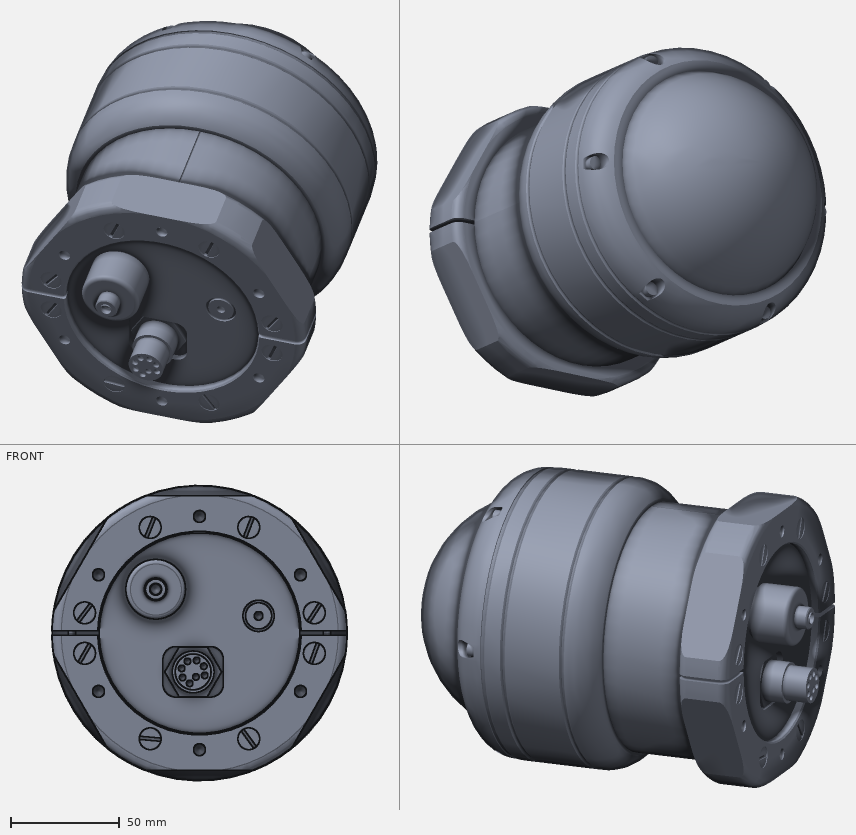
import cadquery as cq
import math


BODY_R = 135.5 / 2
CAP_R = 135.0 / 2
NECK_R = 116.0 / 2
CLAMP_DEPTH = 24.5
NECK_RELIEF_WIDTH = 0.5
NECK_RELIEF_DEPTH = 0.5
NECK_Y = CLAMP_DEPTH + NECK_RELIEF_WIDTH
NECK_LENGTH = 39.7
NECK_END_Y = NECK_Y + NECK_LENGTH
SHOULDER_Y = NECK_END_Y + NECK_RELIEF_WIDTH
BODY_LENGTH = 72.0
CAP_Y = SHOULDER_Y + BODY_LENGTH
SHOULDER_ARC_R = 18.2
CAP_ARC_R = 17.0
TOTAL_LENGTH = 197.4
FRONT_TIP_Y = -23.0
DOME_Y = TOTAL_LENGTH + FRONT_TIP_Y
DOME_BASE_R = 53.3

GROOVE_DEPTH = 0.9
GROOVE_CHAMFER = 0.9
GROOVE_FLOOR = 0.8
LOWER_GROOVE_Y = 81.7
MIDDLE_GROOVE_Y = 110.9
CAP_GROOVE_TOP = 122.0
CAP_GROOVE_FLOOR = 1.4

SEAM_WIDTH = 0.7
SEAM_DEPTH = 1.0

CAP_SCREW_COUNT = 6
CAP_POCKET_CIRCLE_R = 64.0
CAP_HEAD_CIRCLE_R = 62.4
CAP_POCKET_D = 8.0
CAP_POCKET_FLOOR_Y = 125.6
CAP_HEAD_D = 7.22
CAP_HEAD_HEIGHT = 3.8

CLAMP_FILLET = 4.2
CLAMP_ACROSS_FLATS = 126.0
CLAMP_BORE_R = 46.0
CLAMP_BORE_CHAMFER = 0.7
SPLIT_GAP = 2.0
SPLIT_SCREW_D = 3.24
SPLIT_SCREW_X = 58.5
SPLIT_SCREW_Y = 11.0
BOLT_CIRCLE_R = 53.5
BLIND_HOLE_COUNT = 6
BLIND_HOLE_START = 30.0
BLIND_HOLE_D = 5.5
BLIND_HOLE_DEPTH = 10.0
DRILL_TIP_ANGLE = 118.0
CLAMP_HEAD_D = 10.0
CLAMP_HEAD_RECESS = 0.3
DRIVER_SLOT_WIDTH = 1.5
DRIVER_SLOT_DEPTH = 1.8
CLAMP_SCREWS = [
    (10, 57), (65, 69), (115, 68), (170, 53),
    (190, 60), (245, -5), (295, -54), (350, 70),
]

PLATE_Y = 4.0

COAX_X = -20.1
COAX_Z = 20.1
COAX_STEM_D = 24.0
COAX_BODY_D = 27.4
COAX_BODY_BACK_Y = 2.0
COAX_BODY_FRONT_Y = -16.3
COAX_FILLET = 2.0
COAX_PIN_D = 10.4
COAX_PIN_Y = -22.4
COAX_PIN_CHAMFER = 0.5
COAX_TUBE_D = 5.5
COAX_BORE_D = 5.0
COAX_BORE_DEPTH = 4.0

PLUG_X = 27.1
PLUG_Z = 7.9
PLUG_SEAT_D = 14.4
PLUG_D = 12.0
PLUG_SEAT_DEPTH = 1.5
PLUG_HOLE_D = 4.0
PLUG_HOLE_DEPTH = 4.0

MULTI_X = -2.9
MULTI_Z = -17.8
MULTI_POCKET_WIDTH = 27.8
MULTI_POCKET_HEIGHT = 23.2
MULTI_POCKET_CORNER = 6.0
MULTI_POCKET_DEPTH = 3.0
MULTI_NUT_ACROSS_FLATS = 22.6
MULTI_NUT_HEIGHT = 2.0
MULTI_FLANGE_D = 19.2
MULTI_FLANGE_Y = -4.9
MULTI_BODY_D = 16.4
MULTI_END_Y = -16.3
CONTACT_D = 3.0
CONTACT_DEPTH = 4.0
CONTACT_CIRCLE_R = 5.5
CONTACT_PITCH = 45.0
CONTACT_START = -17.0
OUTER_CONTACT_COUNT = 7
INNER_CONTACT_R = 2.6

HALF_SECTOR = math.pi / 6


def rod(x, z, diameter, back_y, front_y):
    """Cylinder along Y at (x, z), from back_y forward to front_y."""
    start = cq.Workplane("XZ", origin=(x, back_y, z))
    return start.circle(diameter / 2).extrude(back_y - front_y)


def drilled_hole(x, z, diameter, face_y, depth):
    """Blind drill cut running in +Y from face_y, with a conical tip."""
    radius = diameter / 2
    tip = radius / math.tan(math.radians(DRILL_TIP_ANGLE / 2))
    profile = cq.Workplane("XY").polyline([(0, 0), (radius, 0), (radius, depth), (0, depth + tip)])
    return profile.close().revolve(360, (0, 0, 0), (0, 1, 0)).translate((x, face_y, z))


def polar(radius, angle):
    """Position (x, z) on a circle around the Y axis, angle in degrees from +X towards +Z."""
    turn = math.radians(angle)
    return radius * math.cos(turn), radius * math.sin(turn)


def shoulder_arc(cylinder_r, tangent_y, face_y, arc_r):
    """End radius and middle point of an arc from a cylinder at tangent_y to a flat face at face_y."""
    sweep = math.asin((face_y - tangent_y) / arc_r)
    centre_r = cylinder_r - arc_r
    end_r = centre_r + arc_r * math.cos(sweep)
    middle = (
        centre_r + arc_r * math.cos(sweep / 2),
        tangent_y + arc_r * math.sin(sweep / 2),
    )
    return end_r, middle


def make_body():
    """Neck, banded body and dome, turned around Y."""
    half_floor = GROOVE_FLOOR / 2
    half_groove = half_floor + GROOVE_CHAMFER
    floor_r = BODY_R - GROOVE_DEPTH
    cap_chamfer_y = CAP_GROOVE_TOP - CAP_GROOVE_FLOOR
    shoulder_start_y = LOWER_GROOVE_Y - half_groove
    dome_height = DOME_Y - CAP_Y
    dome_r = (DOME_BASE_R**2 + dome_height**2) / (2 * dome_height)
    dome_centre_y = DOME_Y - dome_r
    dome_mid = math.atan2(CAP_Y - dome_centre_y, DOME_BASE_R) / 2 + math.pi / 4

    shoulder_end_r, shoulder_mid = shoulder_arc(BODY_R, shoulder_start_y, SHOULDER_Y, SHOULDER_ARC_R)
    cap_end_r, cap_mid = shoulder_arc(CAP_R, CAP_GROOVE_TOP, CAP_Y, CAP_ARC_R)
    relief_r = NECK_R - NECK_RELIEF_DEPTH
    profile = (
        cq.Workplane("XY")
        .moveTo(0, CLAMP_DEPTH)
        .lineTo(relief_r, CLAMP_DEPTH)
        .lineTo(relief_r, NECK_Y)
        .lineTo(NECK_R, NECK_Y)
        .lineTo(NECK_R, NECK_END_Y)
        .lineTo(relief_r, NECK_END_Y)
        .lineTo(relief_r, SHOULDER_Y)
        .lineTo(shoulder_end_r, SHOULDER_Y)
        .threePointArc(shoulder_mid, (BODY_R, shoulder_start_y))
    )
    cap_groove_start = cap_chamfer_y - GROOVE_CHAMFER
    bands = [
        (LOWER_GROOVE_Y, MIDDLE_GROOVE_Y - half_groove),
        (MIDDLE_GROOVE_Y, cap_groove_start),
    ]
    for groove_y, band_end in bands:
        profile = (
            profile.lineTo(floor_r, groove_y - half_floor)
            .lineTo(floor_r, groove_y + half_floor)
            .lineTo(BODY_R, groove_y + half_groove)
            .lineTo(BODY_R, band_end)
        )
    profile = (
        profile.lineTo(floor_r, cap_chamfer_y)
        .lineTo(floor_r, CAP_GROOVE_TOP)
        .lineTo(CAP_R, CAP_GROOVE_TOP)
        .threePointArc(cap_mid, (cap_end_r, CAP_Y))
        .lineTo(DOME_BASE_R, CAP_Y)
        .threePointArc(
            (dome_r * math.cos(dome_mid), dome_centre_y + dome_r * math.sin(dome_mid)),
            (0, DOME_Y),
        )
        .close()
    )
    return profile.revolve(360, (0, 0, 0), (0, 1, 0))


def cut_neck_seam(body):
    """Narrow lengthwise seam along the +Z side of the neck."""
    seam = cq.Workplane("XY").box(SEAM_WIDTH, NECK_LENGTH, 2 * SEAM_DEPTH)
    return body.cut(seam.translate((0, NECK_Y + NECK_LENGTH / 2, NECK_R)))


def add_cap_screws(body):
    """Screw pockets that break out through the cap shoulder, each with a screw head on its floor."""
    head_y = CAP_POCKET_FLOOR_Y + CAP_HEAD_HEIGHT
    for index in range(CAP_SCREW_COUNT):
        angle = index * 360 / CAP_SCREW_COUNT
        pocket_x, pocket_z = polar(CAP_POCKET_CIRCLE_R, angle)
        head_x, head_z = polar(CAP_HEAD_CIRCLE_R, angle)
        body = body.cut(rod(pocket_x, pocket_z, CAP_POCKET_D, CAP_Y, CAP_POCKET_FLOOR_Y))
        body = body.union(rod(head_x, head_z, CAP_HEAD_D, head_y, CAP_POCKET_FLOOR_Y))
    return body


def make_clamp():
    """Split clamp ring with six flats, its plate recess and its screws."""
    disc = rod(0, 0, 2 * BODY_R, CLAMP_DEPTH, 0).edges().fillet(CLAMP_FILLET)
    corner_d = CLAMP_ACROSS_FLATS / math.cos(HALF_SECTOR)
    flats = cq.Workplane("XZ", origin=(0, CLAMP_DEPTH, 0)).polygon(6, corner_d).extrude(CLAMP_DEPTH)
    ring = disc.intersect(flats)

    split = cq.Workplane("XY").box(2 * BODY_R, CLAMP_DEPTH, SPLIT_GAP)
    ring = ring.cut(split.translate((0, CLAMP_DEPTH / 2, 0)))
    mouth_r = CLAMP_BORE_R + CLAMP_BORE_CHAMFER
    bore = cq.Workplane("XY").polyline([
        (0, 0),
        (mouth_r, 0),
        (CLAMP_BORE_R, CLAMP_BORE_CHAMFER),
        (CLAMP_BORE_R, CLAMP_DEPTH),
        (0, CLAMP_DEPTH),
    ])
    ring = ring.cut(bore.close().revolve(360, (0, 0, 0), (0, 1, 0)))
    for side in (-1, 1):
        screw = cq.Workplane("XY").circle(SPLIT_SCREW_D / 2).extrude(SPLIT_GAP, both=True)
        ring = ring.union(screw.translate((side * SPLIT_SCREW_X, SPLIT_SCREW_Y, 0)))

    for index in range(BLIND_HOLE_COUNT):
        x, z = polar(BOLT_CIRCLE_R, BLIND_HOLE_START + index * 360 / BLIND_HOLE_COUNT)
        ring = ring.cut(drilled_hole(x, z, BLIND_HOLE_D, 0, BLIND_HOLE_DEPTH))
    for angle, slot_turn in CLAMP_SCREWS:
        ring = cut_clamp_screw(ring, angle, slot_turn)
    return ring


def cut_clamp_screw(ring, angle, slot_turn):
    """Slightly sunk screw head with a driver slot."""
    x, z = polar(BOLT_CIRCLE_R, angle)
    ring = ring.cut(rod(x, z, CLAMP_HEAD_D, CLAMP_HEAD_RECESS, 0))
    slot = (
        cq.Workplane("XZ", origin=(x, DRIVER_SLOT_DEPTH, z))
        .transformed(rotate=(0, 0, slot_turn))
        .rect(CLAMP_HEAD_D, DRIVER_SLOT_WIDTH)
        .extrude(DRIVER_SLOT_DEPTH)
    )
    return ring.cut(slot.intersect(rod(x, z, CLAMP_HEAD_D, DRIVER_SLOT_DEPTH, 0)))


def make_plate():
    """Round connector plate that fills the clamp bore behind the recess."""
    return rod(0, 0, 2 * CLAMP_BORE_R, CLAMP_DEPTH, PLATE_Y)


def make_coax_connector():
    """Stepped round connector with a bored centre tube."""
    stem = rod(COAX_X, COAX_Z, COAX_STEM_D, PLATE_Y, COAX_BODY_BACK_Y)
    body = rod(COAX_X, COAX_Z, COAX_BODY_D, COAX_BODY_BACK_Y, COAX_BODY_FRONT_Y)
    body = body.faces("<Y").edges().fillet(COAX_FILLET)
    pin = rod(COAX_X, COAX_Z, COAX_PIN_D, COAX_BODY_FRONT_Y, COAX_PIN_Y)
    pin = pin.faces("<Y").edges().chamfer(COAX_PIN_CHAMFER)
    connector = (
        stem.union(body)
        .union(pin)
        .union(rod(COAX_X, COAX_Z, COAX_TUBE_D, COAX_PIN_Y, FRONT_TIP_Y))
    )
    return connector.cut(drilled_hole(COAX_X, COAX_Z, COAX_BORE_D, FRONT_TIP_Y, COAX_BORE_DEPTH))


def cut_plug(plate):
    """Flush round plug: an annular gap around a drilled centre."""
    seat_floor_y = PLATE_Y + PLUG_SEAT_DEPTH
    gap = rod(PLUG_X, PLUG_Z, PLUG_SEAT_D, seat_floor_y, PLATE_Y)
    gap = gap.cut(rod(PLUG_X, PLUG_Z, PLUG_D, seat_floor_y, PLATE_Y))
    return plate.cut(gap).cut(drilled_hole(PLUG_X, PLUG_Z, PLUG_HOLE_D, PLATE_Y, PLUG_HOLE_DEPTH))


def add_multi_connector(plate):
    """Multi-pole connector standing on a hexagonal nut in a rounded pocket."""
    floor_y = PLATE_Y + MULTI_POCKET_DEPTH
    floor = cq.Workplane("XZ", origin=(MULTI_X, floor_y, MULTI_Z))
    pocket = floor.rect(MULTI_POCKET_WIDTH, MULTI_POCKET_HEIGHT).extrude(MULTI_POCKET_DEPTH)
    pocket = pocket.edges("|Y").fillet(MULTI_POCKET_CORNER)
    nut_corner_d = MULTI_NUT_ACROSS_FLATS / math.cos(HALF_SECTOR)
    nut = floor.polygon(6, nut_corner_d).extrude(MULTI_NUT_HEIGHT)

    connector = (
        nut.union(rod(MULTI_X, MULTI_Z, MULTI_FLANGE_D, floor_y, MULTI_FLANGE_Y))
        .union(rod(MULTI_X, MULTI_Z, MULTI_BODY_D, floor_y, MULTI_END_Y))
    )
    contacts = [
        polar(CONTACT_CIRCLE_R, CONTACT_START + index * CONTACT_PITCH)
        for index in range(OUTER_CONTACT_COUNT)
    ]
    contacts.append(polar(INNER_CONTACT_R, CONTACT_START - CONTACT_PITCH))
    for x, z in contacts:
        contact = drilled_hole(MULTI_X + x, MULTI_Z + z, CONTACT_D, MULTI_END_Y, CONTACT_DEPTH)
        connector = connector.cut(contact)
    return plate.cut(pocket).union(connector)


housing = add_cap_screws(cut_neck_seam(make_body()))
plate = add_multi_connector(cut_plug(make_plate())).union(make_coax_connector())
result = housing.union(plate).union(make_clamp())